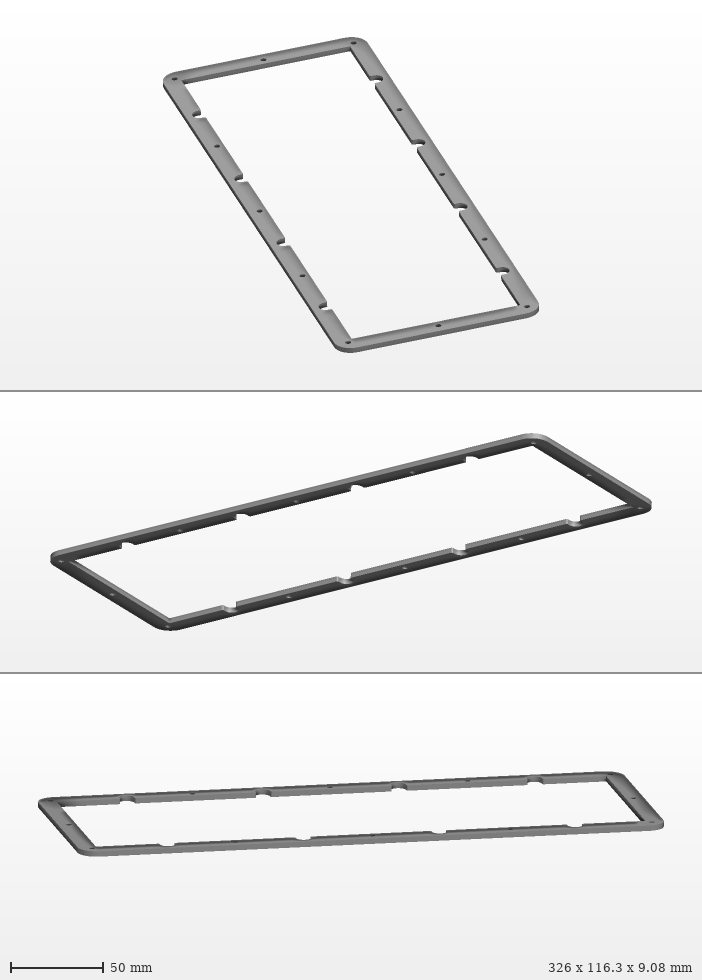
import cadquery as cq

length = 326.0
width = 116.3
thickness = 3.0
tilt_angle = 3.0
corner_radius = 10.0
rim_width = 10.0
window_length = length - 2 * rim_width
window_width = width - 2 * rim_width

notch_width = 8.0
notch_edge_gap = 4.0
notch_lip_radius = 1.0
notch_pitch = 75.5
notch_count = 4

hole_diameter = 3.3
rail_hole_pitch = 76.5
rail_hole_count = 3
rail_hole_inset = 6.2
end_hole_inset = 6.0
corner_hole_inset = 7.2


def centered_positions(count, pitch):
    """Evenly spaced positions, symmetric about zero."""
    return [(i - (count - 1) / 2) * pitch for i in range(count)]


def make_frame():
    """Rounded plate with a sharp-cornered rectangular window."""
    plate = cq.Workplane("XY").box(length, width, thickness).edges("|Z").fillet(corner_radius)
    window = cq.Workplane("XY").box(window_length, window_width, thickness)
    return plate.cut(window)


def make_notches():
    """Slots across the window whose round ends bite into both long sides."""
    slot_length = width - 2 * notch_edge_gap
    centers = [(x, 0) for x in centered_positions(notch_count, notch_pitch)]
    slots = cq.Workplane("XY").pushPoints(centers).slot2D(slot_length, notch_width, 90)
    return slots.extrude(thickness, both=True)


def round_notch_lips(frame):
    """Round the notch mouths, leaving the window corners sharp."""
    half_x = window_length / 2 - rim_width
    half_y = window_width / 2 + notch_lip_radius
    lip_zone = cq.selectors.BoxSelector((-half_x, -half_y, -thickness), (half_x, half_y, thickness))
    return frame.edges("|Z").edges(lip_zone).fillet(notch_lip_radius)


def make_holes():
    """Through holes in the corners, long sides and short sides."""
    centers = []
    for side in (-1, 1):
        centers.append((side * (length / 2 - end_hole_inset), 0))
        for x in centered_positions(rail_hole_count, rail_hole_pitch):
            centers.append((x, side * (width / 2 - rail_hole_inset)))
        for end in (-1, 1):
            corner_x = end * (length / 2 - corner_hole_inset)
            corner_y = side * (width / 2 - corner_hole_inset)
            centers.append((corner_x, corner_y))
    holes = cq.Workplane("XY").pushPoints(centers).circle(hole_diameter / 2)
    return holes.extrude(thickness, both=True)


notched_frame = round_notch_lips(make_frame().cut(make_notches()))
flat_frame = notched_frame.cut(make_holes())
result = flat_frame.rotate((0, 0, 0), (1, 0, 0), tilt_angle)